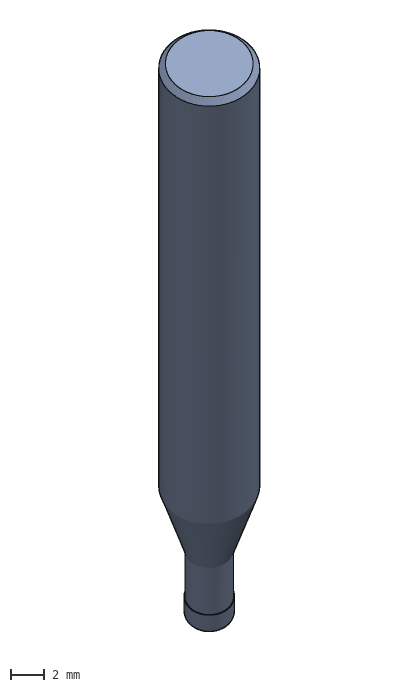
import cadquery as cq
import math

overall_length = 50.0
shank_diameter = 6.0
shank_chamfer = 0.4
tip_diameter = 3.0
tip_length = 1.8
tip_corner_radius = 0.5
neck_diameter = 2.9
reach = 6.0
taper_half_angle = 15.0

shank_radius = shank_diameter / 2
neck_radius = neck_diameter / 2
taper_length = (shank_radius - neck_radius) / math.tan(math.radians(taper_half_angle))
shank_start = reach + taper_length


def make_holder():
    """Neck, conical taper and chamfered shank, revolved as one body."""
    profile = (
        cq.Workplane("XZ")
        .moveTo(0, tip_length)
        .lineTo(neck_radius, tip_length)
        .lineTo(neck_radius, reach)
        .lineTo(shank_radius, shank_start)
        .lineTo(shank_radius, overall_length - shank_chamfer)
        .lineTo(shank_radius - shank_chamfer, overall_length)
        .lineTo(0, overall_length)
        .close()
    )
    return profile.revolve(360, (0, 0), (0, 1))


def make_cutting_tip():
    """Cylindrical cutting end with a rounded lower corner."""
    tip = cq.Workplane("XY").circle(tip_diameter / 2).extrude(tip_length)
    return tip.faces("<Z").edges().fillet(tip_corner_radius)


holder = make_holder()
cutting_tip = make_cutting_tip()

result = cq.Compound.makeCompound([holder.val(), cutting_tip.val()])